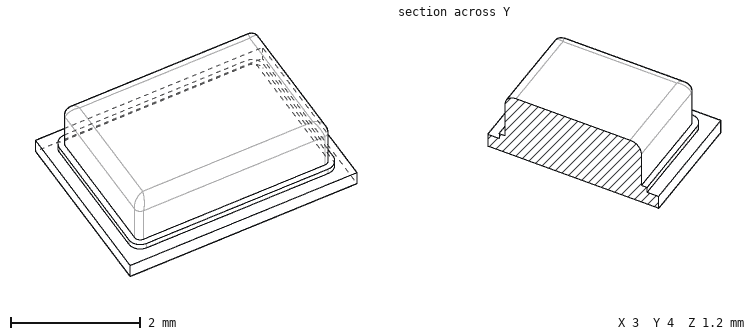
import cadquery as cq

board_width = 3.0
board_length = 4.0
board_thickness = 0.25
total_height = 1.2

flange_margin = 0.2
flange_thickness = 0.1
flange_width = board_width - 2 * flange_margin
flange_length = board_length - 2 * flange_margin

lid_inset = 0.1
lid_corner_radius = 0.1
lid_top_radius = 0.2
lid_width = flange_width - 2 * lid_inset
lid_length = flange_length - 2 * lid_inset
lid_height = total_height - board_thickness
flange_corner_radius = lid_corner_radius + lid_inset


def rounded_block(width, length, height, corner_radius):
    """Block standing on the board, with rounded vertical edges."""
    block = cq.Workplane("XY").workplane(offset=board_thickness).rect(width, length).extrude(height)
    return block.edges("|Z").fillet(corner_radius)


board = cq.Workplane("XY").rect(board_width, board_length).extrude(board_thickness)
flange = rounded_block(flange_width, flange_length, flange_thickness, flange_corner_radius)
lid = rounded_block(lid_width, lid_length, lid_height, lid_corner_radius)
lid = lid.faces(">Z").edges().fillet(lid_top_radius)

result = board.union(flange).union(lid)